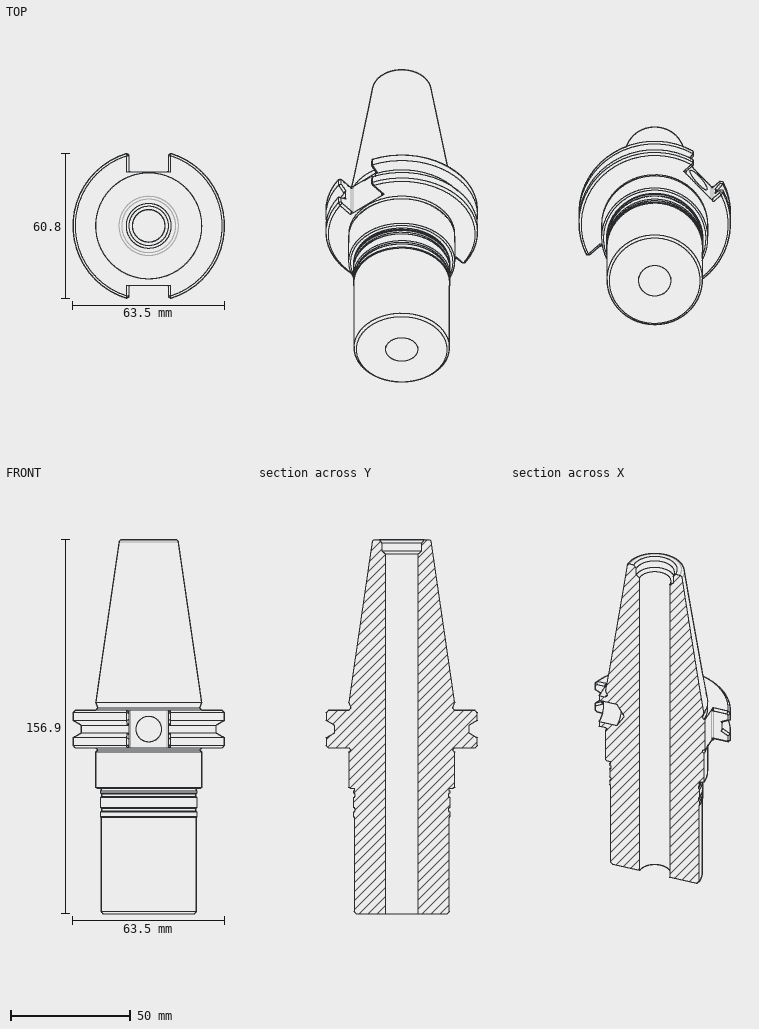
import cadquery as cq
import math

TOTAL_LENGTH = 156.85

GAUGE_RADIUS = 44.45 / 2
TAPER_LENGTH = 68.25
TAPER_RATIO = 7 / 24
TAPER_TIP_RADIUS = GAUGE_RADIUS - TAPER_LENGTH * TAPER_RATIO / 2
TIP_FILLET = 1.2

FLANGE_RADIUS = 63.5 / 2
FLANGE_TOP = -3.175
FLANGE_THICKNESS = 15.875
FLANGE_BOTTOM = FLANGE_TOP - FLANGE_THICKNESS
FLANGE_MIDDLE = FLANGE_TOP - FLANGE_THICKNESS / 2
FLANGE_CHAMFER = 1.0
V_DEPTH = 3.45
V_FLOOR_WIDTH = 3.2
V_FLANK_ANGLE = 30
V_OPENING_WIDTH = V_FLOOR_WIDTH + 2 * V_DEPTH * math.tan(math.radians(V_FLANK_ANGLE))

RELIEF_RADIUS = 21.4
RELIEF_EDGE_RADIUS = 22.2
UPPER_RELIEF_Z = -2.2
LOWER_RELIEF_Z = -19.8

COLLAR_RADIUS = GAUGE_RADIUS
COLLAR_TOP = -20.7
COLLAR_BOTTOM = -36.0
COLLAR_CHAMFER_HEIGHT = 0.5
COLLAR_CHAMFER_WIDTH = 0.8

BODY_RADIUS = 40 / 2
BAND_RADIUS = 40.5 / 2
BAND_TOP = -37.0
BAND_BOTTOM = -48.2
BAND_STEP_HEIGHT = 0.4
RING_GROOVE_CENTERS = (-38.8, -44.9)
RING_GROOVE_WIDTH = 2.0
RING_GROOVE_FLOOR_WIDTH = 1.0
RING_GROOVE_DEPTH = 0.5
BODY_BOTTOM = TAPER_LENGTH - TOTAL_LENGTH
BODY_CHAMFER_HEIGHT = 1.1
BODY_CHAMFER_WIDTH = 1.0

BORE_RADIUS = 13.53 / 2
COUNTERBORE_RADIUS = 16.5 / 2
COUNTERBORE_DEPTH = 4.85
COUNTERBORE_SEAT_DROP = 1.15
COUNTERSINK_RADIUS = 9.4
COUNTERSINK_DEPTH = 1.5

SLOT_WIDTH = 16.5
FRONT_SLOT_FLOOR = 25.0
BACK_SLOT_FLOOR = 22.6
SLOT_CORNER_FILLET = 0.6
SLOT_EDGE_CHAMFER = 0.95
WEDGE_OVERLAP = 0.1

DIMPLE_RADIUS = 10.7 / 2
DIMPLE_DEPTH = 8.0
DRILL_POINT_ANGLE = 118


def ring_groove_points(center):
    """Half-section points, top to bottom, of one trapezoidal groove in the band."""
    floor_radius = BAND_RADIUS - RING_GROOVE_DEPTH
    half_width = RING_GROOVE_WIDTH / 2
    half_floor = RING_GROOVE_FLOOR_WIDTH / 2
    return [
        (BAND_RADIUS, center + half_width),
        (floor_radius, center + half_floor),
        (floor_radius, center - half_floor),
        (BAND_RADIUS, center - half_width),
    ]


def flange_points():
    """Half-section points, top to bottom, of the flange rim and its V groove."""
    chamfer_radius = FLANGE_RADIUS - FLANGE_CHAMFER
    groove_radius = FLANGE_RADIUS - V_DEPTH
    return [
        (chamfer_radius, FLANGE_TOP),
        (FLANGE_RADIUS, FLANGE_TOP - FLANGE_CHAMFER),
        (FLANGE_RADIUS, FLANGE_MIDDLE + V_OPENING_WIDTH / 2),
        (groove_radius, FLANGE_MIDDLE + V_FLOOR_WIDTH / 2),
        (groove_radius, FLANGE_MIDDLE - V_FLOOR_WIDTH / 2),
        (FLANGE_RADIUS, FLANGE_MIDDLE - V_OPENING_WIDTH / 2),
        (FLANGE_RADIUS, FLANGE_BOTTOM + FLANGE_CHAMFER),
        (chamfer_radius, FLANGE_BOTTOM),
    ]


def turned_body():
    """Solid of revolution carrying the taper, flange, collar and grooved body."""
    points = [(0, TAPER_LENGTH), (TAPER_TIP_RADIUS, TAPER_LENGTH), (GAUGE_RADIUS, 0)]
    points += [(RELIEF_RADIUS, UPPER_RELIEF_Z), (RELIEF_EDGE_RADIUS, FLANGE_TOP)]
    points += flange_points()
    points += [
        (RELIEF_EDGE_RADIUS, FLANGE_BOTTOM),
        (RELIEF_RADIUS, LOWER_RELIEF_Z),
        (COLLAR_RADIUS, COLLAR_TOP),
        (COLLAR_RADIUS, COLLAR_BOTTOM + COLLAR_CHAMFER_HEIGHT),
        (COLLAR_RADIUS - COLLAR_CHAMFER_WIDTH, COLLAR_BOTTOM),
        (BODY_RADIUS, COLLAR_BOTTOM),
        (BODY_RADIUS, BAND_TOP),
        (BAND_RADIUS, BAND_TOP),
    ]
    for center in RING_GROOVE_CENTERS:
        points += ring_groove_points(center)
    points += [
        (BAND_RADIUS, BAND_BOTTOM + BAND_STEP_HEIGHT),
        (BODY_RADIUS, BAND_BOTTOM),
        (BODY_RADIUS, BODY_BOTTOM + BODY_CHAMFER_HEIGHT),
        (BODY_RADIUS - BODY_CHAMFER_WIDTH, BODY_BOTTOM),
        (0, BODY_BOTTOM),
    ]
    profile = cq.Workplane("XZ").polyline(points).close()
    body = profile.revolve(360, (0, 0, 0), (0, 1, 0))
    return body.faces(">Z").edges().fillet(TIP_FILLET)


def bore_cutter():
    """Through bore with its conical seat, counterbore and countersink at the taper tip."""
    seat_top = TAPER_LENGTH - COUNTERBORE_DEPTH
    points = [
        (0, TAPER_LENGTH),
        (COUNTERSINK_RADIUS, TAPER_LENGTH),
        (COUNTERBORE_RADIUS, TAPER_LENGTH - COUNTERSINK_DEPTH),
        (COUNTERBORE_RADIUS, seat_top),
        (BORE_RADIUS, seat_top - COUNTERBORE_SEAT_DROP),
        (BORE_RADIUS, BODY_BOTTOM),
        (0, BODY_BOTTOM),
    ]
    return cq.Workplane("XZ").polyline(points).close().revolve(360, (0, 0, 0), (0, 1, 0))


def slot_cutter(floor):
    """Drive slot open toward -Y, with filleted floor corners."""
    length = FLANGE_RADIUS - floor
    return (
        cq.Workplane("XY", origin=(0, -floor - length / 2, FLANGE_BOTTOM))
        .rect(SLOT_WIDTH, length)
        .extrude(FLANGE_THICKNESS)
        .edges("|Z and >Y")
        .fillet(SLOT_CORNER_FILLET)
    )


def depth_at(radius, x):
    """Distance from the XZ plane to a circle of the given radius about Z, at offset x."""
    return math.sqrt(radius**2 - x**2)


def chamfer_wedge(start, end):
    """Wedge that chamfers a +X slot wall along one edge, running between two (y, z) points."""
    wall_x = SLOT_WIDTH / 2
    length = math.dist(start, end)
    along_y = (end[0] - start[0]) / length
    along_z = (end[1] - start[1]) / length
    rim_drop = depth_at(FLANGE_RADIUS, wall_x) - depth_at(FLANGE_RADIUS, wall_x + SLOT_EDGE_CHAMFER)
    rim_depth = rim_drop * abs(along_z)
    slope = SLOT_EDGE_CHAMFER / (SLOT_EDGE_CHAMFER - rim_depth)
    wedge_width = slope * (SLOT_EDGE_CHAMFER + WEDGE_OVERLAP)
    plane = cq.Plane(origin=(wall_x, *start), xDir=(1, 0, 0), normal=(0, along_y, along_z))
    return (
        cq.Workplane(plane)
        .moveTo(0, -SLOT_EDGE_CHAMFER)
        .lineTo(wedge_width, WEDGE_OVERLAP)
        .lineTo(0, WEDGE_OVERLAP)
        .close()
        .extrude(length)
    )


def slot_chamfer_cutters(floor):
    """Wedges for every outer edge of both walls of a slot that opens toward -Y."""
    rim = [(-depth_at(radius, SLOT_WIDTH / 2), z) for radius, z in flange_points()]
    half = len(rim) // 2
    upper_lip = [(-floor, FLANGE_TOP)] + rim[:half]
    lower_lip = rim[half:] + [(-floor, FLANGE_BOTTOM)]
    cutters = []
    for lip in (upper_lip, lower_lip):
        for start, end in zip(lip, lip[1:]):
            wedge = chamfer_wedge(start, end)
            cutters += [wedge, wedge.mirror("YZ")]
    return cutters


def dimple_cutter():
    """Blind drilled hole along Y with a conical point."""
    point_depth = DIMPLE_RADIUS / math.tan(math.radians(DRILL_POINT_ANGLE / 2))
    hole_end = -FRONT_SLOT_FLOOR + DIMPLE_DEPTH
    return (
        cq.Workplane("XY", origin=(0, 0, FLANGE_MIDDLE))
        .moveTo(0, -FRONT_SLOT_FLOOR)
        .lineTo(DIMPLE_RADIUS, -FRONT_SLOT_FLOOR)
        .lineTo(DIMPLE_RADIUS, hole_end)
        .lineTo(0, hole_end + point_depth)
        .close()
        .revolve(360, (0, 0, 0), (0, 1, 0))
    )


result = turned_body().cut(bore_cutter()).cut(dimple_cutter())

for slot_floor, turn in ((FRONT_SLOT_FLOOR, 0), (BACK_SLOT_FLOOR, 180)):
    for cutter in [slot_cutter(slot_floor)] + slot_chamfer_cutters(slot_floor):
        result = result.cut(cutter.rotate((0, 0, 0), (0, 0, 1), turn))